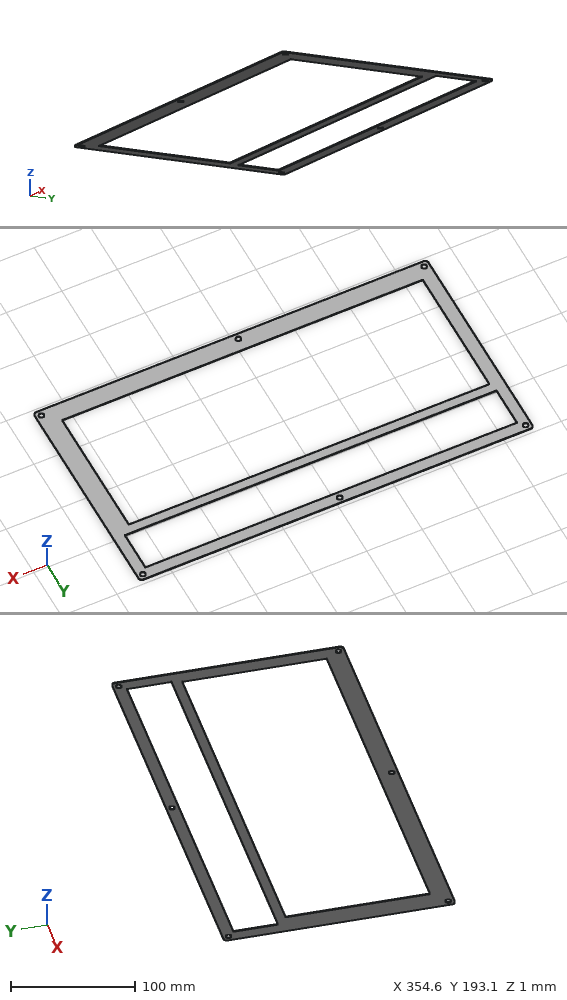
import cadquery as cq

plate_length = 354.6
plate_width = 193.1
plate_thickness = 1.0
corner_radius = 3.0

hole_diameter = 4.6
hole_edge_inset = 5.0
middle_hole_x = -5.0

upper_window_side_margin = 10.0
upper_window_top_margin = 10.35
upper_window_height = 37.1

lower_window_left_margin = 12.1
lower_window_right_margin = 17.8
lower_window_bottom_margin = 16.8
lower_window_height = 120.4

left = -plate_length / 2
right = plate_length / 2
bottom = -plate_width / 2
top = plate_width / 2


def make_plate():
    """Rectangular sheet with rounded corners, its underside on Z = 0."""
    sheet = cq.Workplane("XY").rect(plate_length, plate_width).extrude(plate_thickness)
    return sheet.edges("|Z").fillet(corner_radius)


def make_window(x_min, x_max, y_min, height):
    """Block that cuts a sharp-cornered rectangular opening through the plate."""
    block = cq.Workplane("XY").box(x_max - x_min, height, plate_thickness, centered=False)
    return block.translate((x_min, y_min, 0))


def make_hole_cutters():
    """Cylinders for the mounting holes along the top and bottom edges."""
    columns = (left + hole_edge_inset, middle_hole_x, right - hole_edge_inset)
    rows = (bottom + hole_edge_inset, top - hole_edge_inset)
    centres = [(x, y) for x in columns for y in rows]
    return cq.Workplane("XY").pushPoints(centres).circle(hole_diameter / 2).extrude(plate_thickness)


upper_window = make_window(
    left + upper_window_side_margin,
    right - upper_window_side_margin,
    top - upper_window_top_margin - upper_window_height,
    upper_window_height,
)

lower_window = make_window(
    left + lower_window_left_margin,
    right - lower_window_right_margin,
    bottom + lower_window_bottom_margin,
    lower_window_height,
)

result = make_plate().cut(upper_window).cut(lower_window).cut(make_hole_cutters())